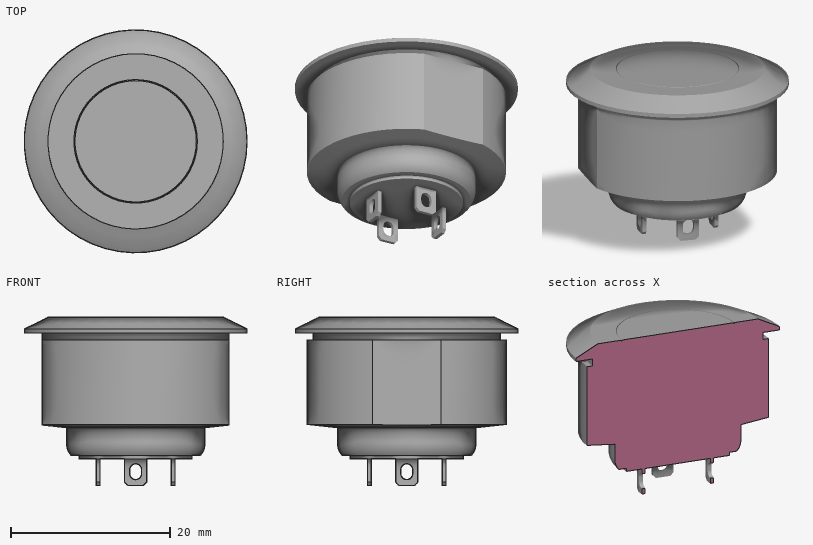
import cadquery as cq
import math

TOTAL_HEIGHT = 21.15
RIM_DEPTH = 1.48
FLANGE_DEPTH = 2.0
NECK_DEPTH = 2.85
BODY_DEPTH = 13.47
SHOULDER_DEPTH = 13.9
HOUSING_ROUND_DEPTH = 15.93
HOUSING_DEPTH = 17.35
BASE_DEPTH = 17.78

FLANGE_DIAMETER = 28.0
BEZEL_TOP_DIAMETER = 22.0
NECK_DIAMETER = 23.5
BODY_DIAMETER = 25.0
HOUSING_DIAMETER = 17.4
BASE_DIAMETER = 14.2
HOUSING_ROUND_RADIUS = 2.02

WIDTH_ACROSS_FLATS = NECK_DIAMETER

BUTTON_BORE_DIAMETER = 15.5
BUTTON_BEVEL = 0.15

TAB_COUNT = 4
TAB_WIDTH = 2.8
TAB_THICKNESS = 0.5
TAB_RADIUS = 4.7
TAB_CORNER = 0.42
TAB_SLOT_WIDTH = 1.45
TAB_SLOT_LENGTH = 1.95
TAB_SLOT_CENTER_DEPTH = 19.4
TAB_ROOT = 0.28


def height(depth):
    """Z of a level given its depth below the bezel top."""
    return TOTAL_HEIGHT - depth


def disc(diameter, top_depth, bottom_depth):
    """Solid disc on the part axis between two depths."""
    return (
        cq.Workplane("XY", origin=(0, 0, height(bottom_depth)))
        .circle(diameter / 2)
        .extrude(bottom_depth - top_depth)
    )


def revolve_profile(profile):
    """Turn a closed profile of (radius, Z) around the part axis."""
    return profile.close().revolve(360, (0, 0, 0), (0, 1, 0))


def make_flange():
    """Bezel with a flat top, a conical slope and a thin upright rim."""
    profile = (
        cq.Workplane("XZ")
        .moveTo(0, height(0))
        .lineTo(BEZEL_TOP_DIAMETER / 2, height(0))
        .lineTo(FLANGE_DIAMETER / 2, height(RIM_DEPTH))
        .lineTo(FLANGE_DIAMETER / 2, height(FLANGE_DEPTH))
        .lineTo(0, height(FLANGE_DEPTH))
    )
    return revolve_profile(profile)


def make_body():
    """Barrel with a shallow conical underside and a flat on the -X and +X sides."""
    profile = (
        cq.Workplane("XZ")
        .moveTo(0, height(NECK_DEPTH))
        .lineTo(BODY_DIAMETER / 2, height(NECK_DEPTH))
        .lineTo(BODY_DIAMETER / 2, height(BODY_DEPTH))
        .lineTo(HOUSING_DIAMETER / 2, height(SHOULDER_DEPTH))
        .lineTo(0, height(SHOULDER_DEPTH))
    )
    flats = (
        cq.Workplane("XY")
        .rect(WIDTH_ACROSS_FLATS, BODY_DIAMETER)
        .extrude(TOTAL_HEIGHT)
    )
    return revolve_profile(profile).intersect(flats)


def make_housing():
    """Rear housing whose lower edge curves inward, tangent to its wall."""
    wall_radius = HOUSING_DIAMETER / 2
    sweep = math.asin((HOUSING_DEPTH - HOUSING_ROUND_DEPTH) / HOUSING_ROUND_RADIUS)

    def round_point(angle):
        radius = wall_radius - HOUSING_ROUND_RADIUS * (1 - math.cos(angle))
        depth = HOUSING_ROUND_DEPTH + HOUSING_ROUND_RADIUS * math.sin(angle)
        return radius, height(depth)

    profile = (
        cq.Workplane("XZ")
        .moveTo(0, height(SHOULDER_DEPTH))
        .lineTo(wall_radius, height(SHOULDER_DEPTH))
        .lineTo(wall_radius, height(HOUSING_ROUND_DEPTH))
        .threePointArc(round_point(sweep / 2), round_point(sweep))
        .lineTo(0, height(HOUSING_DEPTH))
    )
    return revolve_profile(profile)


def make_button_seam():
    """V-shaped ring to cut: bevelled on the button side, upright on the bore side."""
    bore_radius = BUTTON_BORE_DIAMETER / 2
    profile = (
        cq.Workplane("XZ")
        .moveTo(bore_radius - BUTTON_BEVEL, height(0))
        .lineTo(bore_radius, height(0))
        .lineTo(bore_radius, height(BUTTON_BEVEL))
    )
    return revolve_profile(profile)


def make_tab():
    """Solder tab on the -Y side, with clipped lower corners and a wire slot."""
    tab_length = TOTAL_HEIGHT - BASE_DEPTH + TAB_ROOT
    blade = (
        cq.Workplane("XY")
        .box(TAB_WIDTH, TAB_THICKNESS, tab_length, centered=(True, True, False))
        .edges("|Y and <Z")
        .chamfer(TAB_CORNER)
    )
    slot = (
        cq.Workplane("XZ")
        .center(0, height(TAB_SLOT_CENTER_DEPTH))
        .slot2D(TAB_SLOT_LENGTH, TAB_SLOT_WIDTH, 90)
        .extrude(TAB_THICKNESS, both=True)
    )
    return blade.cut(slot).translate((0, -TAB_RADIUS, 0))


result = (
    make_flange()
    .union(disc(NECK_DIAMETER, FLANGE_DEPTH, NECK_DEPTH))
    .union(make_body())
    .union(make_housing())
    .union(disc(BASE_DIAMETER, HOUSING_DEPTH, BASE_DEPTH))
    .cut(make_button_seam())
)

tab = make_tab()
for index in range(TAB_COUNT):
    result = result.union(tab.rotate((0, 0, 0), (0, 0, 1), index * 360 / TAB_COUNT))